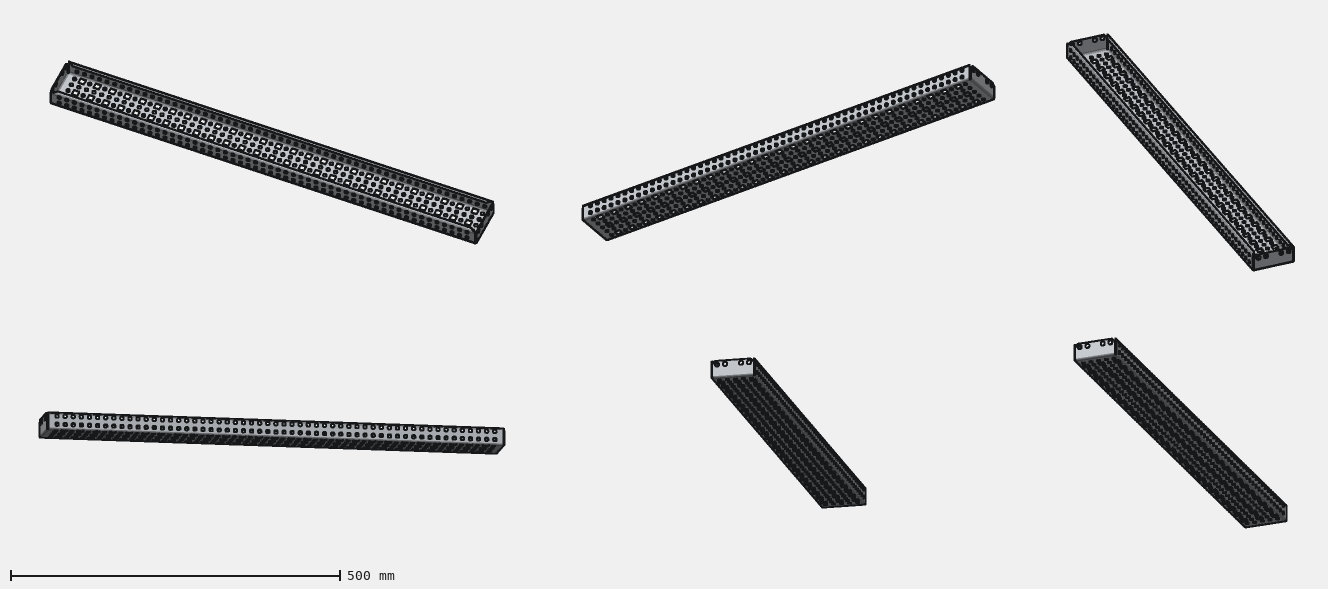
import cadquery as cq

LENGTH = 706.0
WIDTH = 69.0
HEIGHT = 27.0

SHEET = 1.5
BEND_OUTER = 2.25
LIP_DEPTH = 7.0
LIP_SETBACK = 3.5
END_CORNER = 5.0

HOLES_LONG = 55
END_MARGIN = 15.5
ROUND_HOLE = 5.4
END_HOLE = 6.5
BRIDGE = 5.4
TOP_ROW_DROP = 5.85

BEND_INNER = BEND_OUTER - SHEET
FLAT_LENGTH = LENGTH - 2 * BEND_OUTER
FLAT_WIDTH = WIDTH - 2 * BEND_OUTER
PITCH = (LENGTH - 2 * END_MARGIN) / (HOLES_LONG - 1)
SQUARE_HOLE = 2 * (PITCH - BRIDGE) - ROUND_HOLE
TOP_ROW_Z = HEIGHT - TOP_ROW_DROP


def rounded_bar(width, height, radius):
    """Bar along X with rounded long edges, centred on the channel's cross-section."""
    return (
        cq.Workplane("XY", origin=(0, 0, HEIGHT / 2))
        .box(FLAT_LENGTH, width, height)
        .edges("|X")
        .fillet(radius)
    )


def long_channel():
    """Floor with both long walls and their inward lips, stopping at the end bends."""
    outer = rounded_bar(WIDTH, HEIGHT, BEND_OUTER)
    inner = rounded_bar(WIDTH - 2 * SHEET, HEIGHT - 2 * SHEET, BEND_INNER)
    half_opening = WIDTH / 2 - LIP_DEPTH
    lip_run = LIP_DEPTH - BEND_OUTER
    lip_end = FLAT_LENGTH / 2 - LIP_SETBACK
    mouth = (
        cq.Workplane("XY", origin=(0, 0, HEIGHT - SHEET))
        .rect(FLAT_LENGTH, 2 * half_opening)
        .extrude(SHEET)
    )
    channel = outer.cut(inner).cut(mouth)

    for end in (-1, 1):
        for side in (-1, 1):
            mitre = (
                cq.Workplane("XY", origin=(0, 0, HEIGHT - BEND_OUTER))
                .moveTo(end * FLAT_LENGTH / 2, side * FLAT_WIDTH / 2)
                .lineTo(end * lip_end, side * FLAT_WIDTH / 2)
                .lineTo(end * (lip_end - lip_run), side * half_opening)
                .lineTo(end * FLAT_LENGTH / 2, side * half_opening)
                .close()
                .extrude(BEND_OUTER)
            )
            channel = channel.cut(mitre)
    return channel


def end_channel():
    """Floor with both corner-chamfered end walls, stopping at the long bends."""
    outer = (
        cq.Workplane("XY")
        .box(LENGTH, FLAT_WIDTH, HEIGHT, centered=(True, True, False))
        .edges("|Y and <Z")
        .fillet(BEND_OUTER)
        .edges("|X and >Z")
        .chamfer(END_CORNER)
    )
    inner = (
        cq.Workplane("XY", origin=(0, 0, SHEET))
        .box(LENGTH - 2 * SHEET, FLAT_WIDTH, HEIGHT, centered=(True, True, False))
        .edges("|Y and <Z")
        .fillet(BEND_INNER)
    )
    return outer.cut(inner)


def along(index):
    """X position of a hole, counted from the -X end of the grid."""
    return (index - (HOLES_LONG - 1) / 2) * PITCH


def floor_cutter():
    """Five rows of floor holes; the middle and outer rows alternate round and square."""
    mixed_rows = (-2 * PITCH, 0, 2 * PITCH)
    plain_rows = (-PITCH, PITCH)
    rounds = [(along(i), y) for i in range(HOLES_LONG) for y in plain_rows]
    rounds += [(along(i), y) for i in range(0, HOLES_LONG, 2) for y in mixed_rows]
    squares = [(along(i), y) for i in range(1, HOLES_LONG, 2) for y in mixed_rows]
    plane = cq.Workplane("XY")
    round_pins = plane.pushPoints(rounds).circle(ROUND_HOLE / 2).extrude(SHEET)
    square_pins = plane.pushPoints(squares).rect(SQUARE_HOLE, SQUARE_HOLE).extrude(SHEET)
    return round_pins.add(square_pins).combine()


def long_wall_cutter():
    """Two rows of holes through both long walls."""
    points = [(along(i), z) for i in range(HOLES_LONG) for z in (TOP_ROW_Z, TOP_ROW_Z - PITCH)]
    return cq.Workplane("XZ").pushPoints(points).circle(ROUND_HOLE / 2).extrude(WIDTH / 2, both=True)


def end_wall_cutter():
    """One row of holes through both end walls, with none in the middle."""
    points = [(step * PITCH, TOP_ROW_Z) for step in (-2, -1, 1, 2)]
    return cq.Workplane("YZ").pushPoints(points).circle(END_HOLE / 2).extrude(LENGTH / 2, both=True)


result = (
    long_channel()
    .union(end_channel())
    .cut(floor_cutter())
    .cut(long_wall_cutter())
    .cut(end_wall_cutter())
)